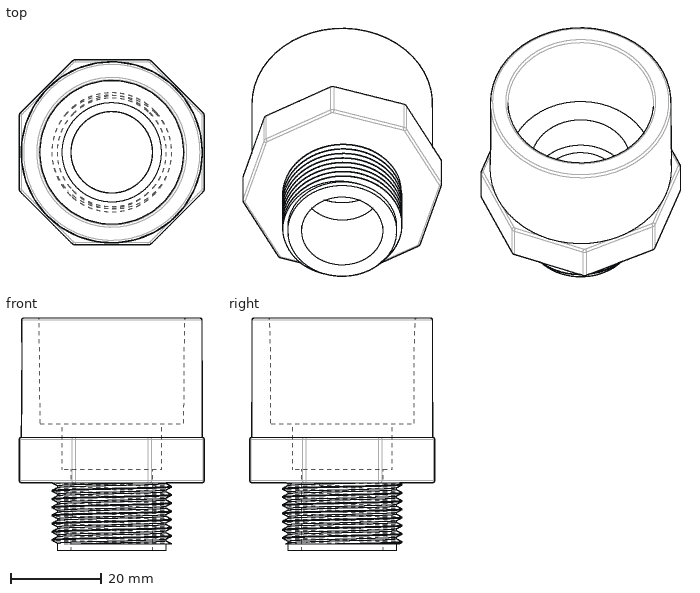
import cadquery as cq
import math

pitch = 25.4 / 14
thread_major_diameter = 26.44
thread_minor_diameter = 24.12
thread_flank_angle = 27.5
thread_crest_width = 0.2
thread_start = 1.45
thread_embed = 0.15

collar_bottom = 15.0
collar_height = 10.1
collar_across_flats = 41.0
collar_side_count = 8
collar_corner_radius = 1.0
collar_edge_radius = 0.5
collar_top = collar_bottom + collar_height

sleeve_top = 51.5
sleeve_base_diameter = 40.2
sleeve_top_diameter = 40.0
sleeve_edge_radius = 0.5

socket_floor = 28.0
socket_floor_diameter = 31.8
socket_mouth_diameter = 32.2
socket_edge_radius = 0.5

counterbore_diameter = 22.0
counterbore_floor = 18.0
bore_diameter = 18.0


def make_spigot():
    """Plain cylinder at the thread root, running up into the collar."""
    return cq.Workplane("XY").circle(thread_minor_diameter / 2).extrude(collar_top)


def make_collar():
    """Octagon with two flats square to X, rounded corners and rounded rims."""
    half_side_angle = math.pi / collar_side_count
    across_corners = collar_across_flats / math.cos(half_side_angle)
    collar = (
        cq.Workplane("XY", origin=(0, 0, collar_bottom))
        .transformed(rotate=(0, 0, math.degrees(half_side_angle)))
        .polygon(collar_side_count, across_corners)
        .extrude(collar_height)
    )
    collar = collar.edges("|Z").fillet(collar_corner_radius)
    return collar.faces("<Z or >Z").edges().fillet(collar_edge_radius)


def make_frustum(bottom, top, bottom_diameter, top_diameter):
    """Slightly conical solid about the Z axis."""
    return (
        cq.Workplane("XZ")
        .moveTo(0, bottom)
        .lineTo(bottom_diameter / 2, bottom)
        .lineTo(top_diameter / 2, top)
        .lineTo(0, top)
        .close()
        .revolve(360, (0, 0), (0, 1))
    )


def make_sleeve():
    """Outer wall of the socket, starting inside the collar."""
    sleeve_base = collar_bottom + collar_height / 2
    sleeve = make_frustum(sleeve_base, sleeve_top, sleeve_base_diameter, sleeve_top_diameter)
    return sleeve.faces(">Z").edges().fillet(sleeve_edge_radius)


def cut_socket(body):
    """Tapered pipe socket with a rounded mouth."""
    socket = make_frustum(socket_floor, sleeve_top, socket_floor_diameter, socket_mouth_diameter)
    body = body.cut(socket)
    mouth_edge = body.faces(">Z").edges(cq.selectors.RadiusNthSelector(0))
    return mouth_edge.fillet(socket_edge_radius)


def cut_passage(body):
    """Through bore with a wider counterbore below the socket floor."""
    counterbore = (
        cq.Workplane("XY", origin=(0, 0, counterbore_floor))
        .circle(counterbore_diameter / 2)
        .extrude(socket_floor - counterbore_floor)
    )
    bore = cq.Workplane("XY").circle(bore_diameter / 2).extrude(socket_floor)
    return body.cut(counterbore).cut(bore)


def make_thread():
    """Right-hand helical ridge, cut flat at its lower end and ending inside the collar."""
    root_radius = thread_minor_diameter / 2 - thread_embed
    crest_radius = thread_major_diameter / 2
    half_crest = thread_crest_width / 2
    half_root = half_crest + (crest_radius - root_radius) * math.tan(math.radians(thread_flank_angle))
    helix_start = thread_start - pitch
    thread_end = collar_bottom + collar_edge_radius
    helix_height = thread_end - helix_start + pitch
    helix = cq.Wire.makeHelix(pitch, helix_height, root_radius, center=cq.Vector(0, 0, helix_start))
    ridge = (
        cq.Workplane("XZ")
        .moveTo(root_radius, helix_start - half_root)
        .lineTo(crest_radius, helix_start - half_crest)
        .lineTo(crest_radius, helix_start + half_crest)
        .lineTo(root_radius, helix_start + half_root)
        .close()
        .sweep(cq.Workplane(obj=helix), isFrenet=True)
    )
    band = (
        cq.Workplane("XY", origin=(0, 0, thread_start))
        .circle(thread_major_diameter)
        .extrude(thread_end - thread_start)
    )
    return ridge.intersect(band)


threaded_spigot = make_spigot().union(make_thread())
body = make_collar().union(make_sleeve()).union(threaded_spigot)
result = cut_passage(cut_socket(body))